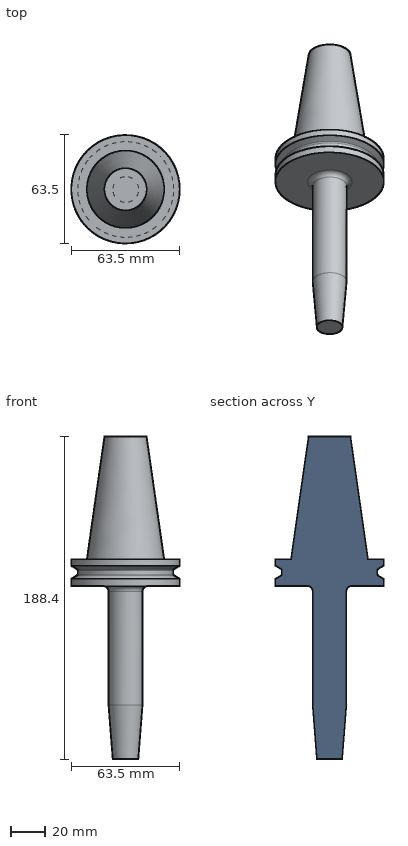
import cadquery as cq

taper_length = 71.5
flange_height = 15.8
overall_length = 188.4
nose_length = 31.7

taper_small_diameter = 24.7
taper_large_diameter = 45.2
flange_diameter = 63.5
groove_diameter = 56.0
shank_diameter = 20.0
nose_tip_diameter = 15.0

upper_rim_height = 4.0
lower_rim_height = 4.3
groove_floor_height = 3.2
groove_fillet = 1.0

root_fillet = 3.0

flange_bottom = -flange_height
tip_z = taper_length - overall_length
nose_top = tip_z + nose_length

flange_radius = flange_diameter / 2
groove_radius = groove_diameter / 2
shank_radius = shank_diameter / 2

groove_top = -upper_rim_height
groove_bottom = flange_bottom + lower_rim_height
groove_middle = (groove_top + groove_bottom) / 2
floor_top = groove_middle + groove_floor_height / 2
floor_bottom = groove_middle - groove_floor_height / 2

profile = (
    cq.Workplane("XZ")
    .moveTo(0, taper_length)
    .lineTo(taper_small_diameter / 2, taper_length)
    .lineTo(taper_large_diameter / 2, 0)
    .lineTo(flange_radius, 0)
    .lineTo(flange_radius, groove_top)
    .lineTo(groove_radius, floor_top)
    .lineTo(groove_radius, floor_bottom)
    .lineTo(flange_radius, groove_bottom)
    .lineTo(flange_radius, flange_bottom)
    .lineTo(shank_radius + root_fillet, flange_bottom)
    .radiusArc((shank_radius, flange_bottom - root_fillet), -root_fillet)
    .lineTo(shank_radius, nose_top)
    .lineTo(nose_tip_diameter / 2, tip_z)
    .lineTo(0, tip_z)
    .close()
)

body = profile.revolve(360, (0, 0, 0), (0, 1, 0))

floor_corners = cq.selectors.BoxSelector(
    (-groove_radius, -groove_radius, floor_bottom - groove_fillet),
    (groove_radius, groove_radius, floor_top + groove_fillet),
)
result = body.edges("%CIRCLE").edges(floor_corners).fillet(groove_fillet)